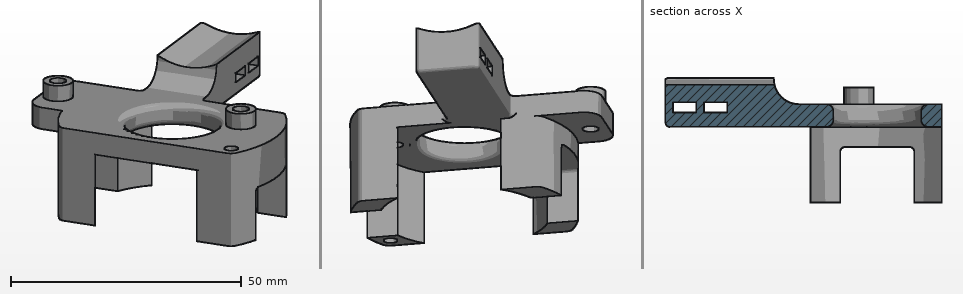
import cadquery as cq


body_radius = 24.8
body_front_y = -14.0
body_back_y = 14.5
body_corner_radius = 2.0
plate_thickness = 5.0
body_height = 21.4

inner_radius = 18.5
side_notch_width = 16.0
side_notch_top_z = -9.35
side_notch_corner_radius = 1.0

bore_diameter = 20.67
bore_rounding = 1.5

ear_left_x = -33.0
ear_front_y = -4.0
ear_corner_radius = 4.0

boss_diameter = 6.5
boss_hole_diameter = 3.55
boss_height = 3.6
boss_y = 4.0
boss_x_positions = (-29.05, 14.5)

leg_hole_diameter = 3.0
leg_hole_x = 18.9
leg_hole_y = -10.8

arm_width = 14.1
arm_center_x = -6.7
arm_end_y = 46.0
arm_top_z = 5.71
arm_edge_radius = 1.0
arm_root_radius = 1.2
cradle_radius = 16.0
cradle_depth = 1.65
step_radius = 5.36
step_y = 22.4

slot_length = 5.0
slot_height = 2.15
slot_bottom_z = -1.8
slot_start_y_positions = (32.55, 39.3)

plate_bottom_z = -plate_thickness
body_bottom_z = -body_height
arm_left_x = arm_center_x - arm_width / 2
arm_right_x = arm_center_x + arm_width / 2


def cylinder(x, y, bottom_z, top_z, diameter):
    return cq.Workplane("XY", origin=(x, y, bottom_z)).circle(diameter / 2).extrude(top_z - bottom_z)


def box_between(x_range, y_range, z_range):
    size = [end - start for start, end in (x_range, y_range, z_range)]
    corner = (x_range[0], y_range[0], z_range[0])
    return cq.Workplane("XY").box(*size, centered=False).translate(corner)


def make_body():
    disc = cylinder(0, 0, body_bottom_z, 0, 2 * body_radius)
    trim = box_between((-body_radius, body_radius), (body_front_y, body_back_y), (body_bottom_z, 0))
    body = disc.intersect(trim).edges("|Z").edges("<Y or >Y").fillet(body_corner_radius)
    return body.cut(cylinder(0, 0, body_bottom_z, plate_bottom_z, 2 * inner_radius)).cut(make_side_notch())


def make_side_notch():
    half_width = side_notch_width / 2
    notch = box_between(
        (-body_radius, body_radius), (-half_width, half_width), (body_bottom_z, side_notch_top_z)
    )
    return notch.edges("|X and >Z").fillet(side_notch_corner_radius)


def make_ear():
    ear = box_between((ear_left_x, -inner_radius), (ear_front_y, body_back_y), (plate_bottom_z, 0))
    return ear.edges("|Z and <X").fillet(ear_corner_radius)


def make_arm():
    arm = box_between((arm_left_x, arm_right_x), (body_back_y, arm_end_y), (plate_bottom_z, arm_top_z))
    arm = arm.edges("|Z and >Y").fillet(arm_edge_radius)
    for side in (-1, 1):
        arm = arm.union(make_arm_root(side))
    arm = arm.faces("<Z").edges("not <Y").fillet(arm_edge_radius)
    arm = arm.cut(make_arm_step()).cut(make_cradle())
    for slot_start_y in slot_start_y_positions:
        arm = arm.cut(make_strap_slot(slot_start_y))
    return arm


def make_arm_step():
    """Space above the concave step that rises from the plate level to the cradle."""
    return (
        cq.Workplane("YZ", origin=(arm_left_x, 0, 0))
        .moveTo(body_back_y, 0)
        .lineTo(step_y - step_radius, 0)
        .radiusArc((step_y, step_radius), -step_radius)
        .lineTo(step_y, arm_top_z)
        .lineTo(body_back_y, arm_top_z)
        .close()
        .extrude(arm_width)
    )


def make_cradle():
    cradle_axis_z = arm_top_z - cradle_depth + cradle_radius
    return (
        cq.Workplane("XZ", origin=(arm_center_x, body_back_y, cradle_axis_z))
        .circle(cradle_radius)
        .extrude(body_back_y - arm_end_y)
    )


def make_strap_slot(start_y):
    return box_between(
        (arm_left_x, arm_right_x),
        (start_y, start_y + slot_length),
        (slot_bottom_z, slot_bottom_z + slot_height),
    )


def make_arm_root(side):
    """Concave corner between one side of the arm (-1 left, +1 right) and the back of the plate."""
    side_x = arm_center_x + side * arm_width / 2
    return (
        cq.Workplane("XY", origin=(0, 0, plate_bottom_z))
        .moveTo(side_x, body_back_y)
        .lineTo(side_x, body_back_y + arm_root_radius)
        .radiusArc((side_x + side * arm_root_radius, body_back_y), -side * arm_root_radius)
        .close()
        .extrude(plate_thickness)
    )


def make_bore():
    bore_radius = bore_diameter / 2
    mouth_radius = bore_radius + bore_rounding
    return (
        cq.Workplane("XZ")
        .moveTo(0, plate_bottom_z)
        .lineTo(mouth_radius, plate_bottom_z)
        .radiusArc((bore_radius, plate_bottom_z + bore_rounding), bore_rounding)
        .lineTo(bore_radius, -bore_rounding)
        .radiusArc((mouth_radius, 0), bore_rounding)
        .lineTo(0, 0)
        .close()
        .revolve(360, (0, 0, 0), (0, 1, 0))
    )


result = make_body().union(make_ear()).union(make_arm())
result = result.cut(make_bore())
for boss_x in boss_x_positions:
    result = result.union(cylinder(boss_x, boss_y, plate_bottom_z, boss_height, boss_diameter))
    result = result.cut(cylinder(boss_x, boss_y, plate_bottom_z, boss_height, boss_hole_diameter))
result = result.cut(cylinder(leg_hole_x, leg_hole_y, body_bottom_z, 0, leg_hole_diameter))